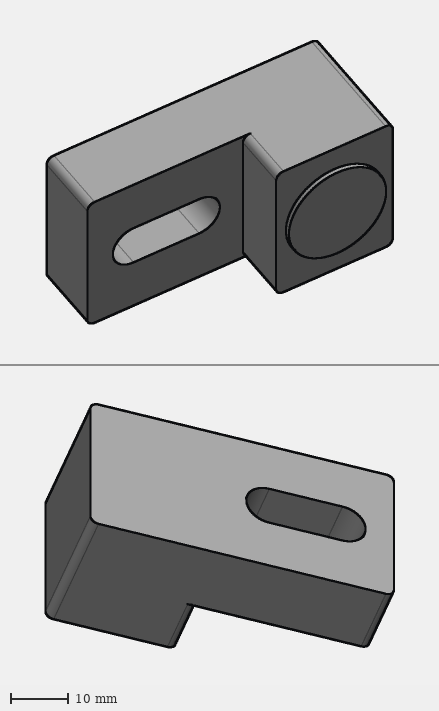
import cadquery as cq

plate_thickness = 13.5
length = 56.0
height = 30.0
head_depth = 24.5
head_length = 24.0
corner_radius = 1.5

pad_diameter = 20.0
pad_thickness = 1.0

slot_width = 8.5
slot_length = 22.0
slot_end_gap = 5.25

head_center_y = length - head_length / 2
slot_center_y = slot_end_gap + slot_length / 2


def rounded_block(depth, width, center_y):
    """Block standing on the back face, with its four X-direction edges rounded."""
    return (
        cq.Workplane("YZ")
        .center(center_y, 0)
        .rect(width, height)
        .extrude(depth)
        .edges("|X")
        .fillet(corner_radius)
    )


def contact_pad():
    """Round pad raised on the face of the thick end."""
    return (
        cq.Workplane("YZ", origin=(head_depth, head_center_y, 0))
        .circle(pad_diameter / 2)
        .extrude(pad_thickness)
    )


def mounting_slot():
    """Slot along Y, right through the plate."""
    return (
        cq.Workplane("YZ")
        .center(slot_center_y, 0)
        .slot2D(slot_length, slot_width)
        .extrude(plate_thickness)
    )


plate = rounded_block(plate_thickness, length, length / 2)
head = rounded_block(head_depth, head_length, head_center_y)

result = plate.union(head).union(contact_pad()).cut(mounting_slot())